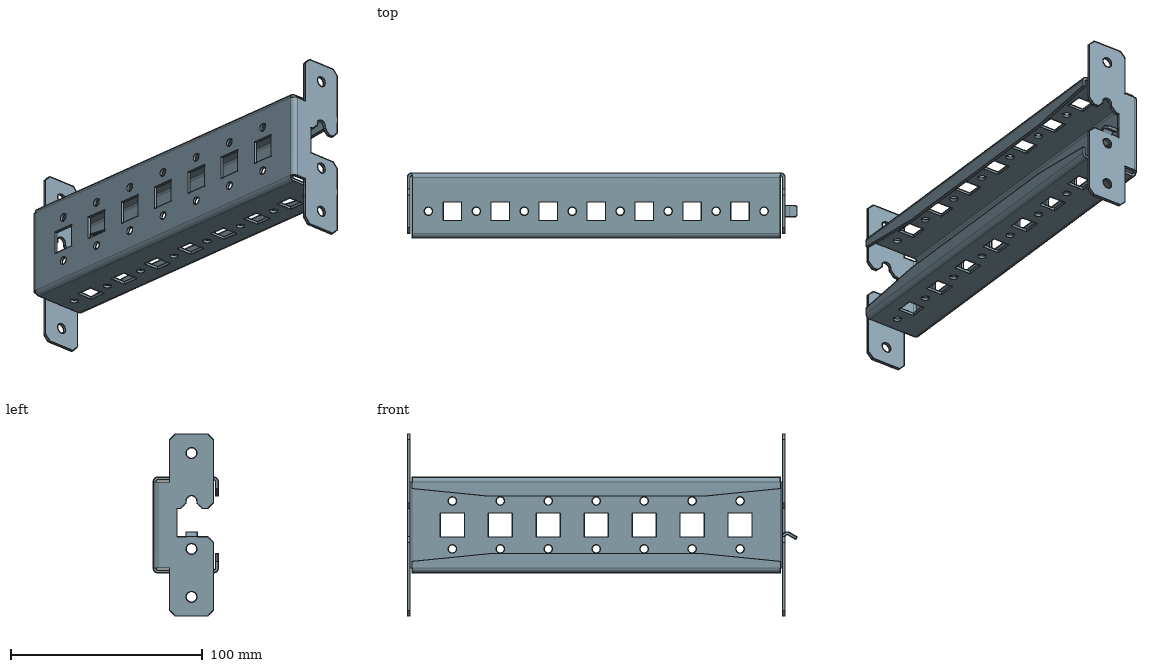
import cadquery as cq
import math

thickness = 1.5
inner_bend = 1.0
outer_bend = inner_bend + thickness

channel_length = 192.0
channel_height = 50.0
channel_depth = 34.0
back_y = 20.0
front_y = back_y - channel_depth
half_length = channel_length / 2
half_height = channel_height / 2
web_flat_half = half_height - outer_bend

lip_width = 10.0
lip_end_width = 6.0
lip_taper_length = 40.0

pitch = 25.0
web_square = 12.4
flange_square = 9.5
small_hole = 4.2
square_count = 7
flange_hole_count = square_count + 1
web_hole_z = pitch / 2

plate_outer_x = half_length + outer_bend
plate_width = 23.0
plate_height = 95.0
plate_front_y = -plate_width / 2
plate_chamfer = 3.0
plate_hole = 5.5
plate_hole_count = 4

notch_back_y = 7.5
notch_bottom_z = -6.1
notch_top_z = 8.5
lead_in = 3.0

tab_width = 6.0
overall_length = 203.29
tab_reach = overall_length - 2 * plate_outer_x
tab_slope = math.radians(30)
tab_corner = 1.5


def box(x_range, y_range, z_range):
    """Box between the given pairs of limits."""
    size = [high - low for low, high in (x_range, y_range, z_range)]
    corner = (x_range[0], y_range[0], z_range[0])
    return cq.Workplane("XY").box(*size, centered=False).translate(corner)


def row(count):
    """Positions along one axis of a centred row at the hole pitch."""
    return [(i - (count - 1) / 2) * pitch for i in range(count)]


def make_channel():
    """Web, two flanges and two lips, still without holes."""
    middle_y = (back_y + front_y) / 2
    outer = cq.Workplane("XY").box(channel_length, channel_depth, channel_height)
    outer = outer.edges("|X").fillet(outer_bend)
    inner = cq.Workplane("XY").box(
        channel_length, channel_depth - 2 * thickness, channel_height - 2 * thickness
    )
    inner = inner.edges("|X").fillet(inner_bend)
    channel = outer.cut(inner).translate((0, middle_y, 0))

    slot_half = half_height - lip_width
    slot_end_half = half_height - lip_end_width
    taper_x = half_length - lip_taper_length
    opening = (
        cq.Workplane("XZ", origin=(0, front_y, 0))
        .moveTo(-half_length, -slot_end_half)
        .lineTo(-taper_x, -slot_half)
        .lineTo(taper_x, -slot_half)
        .lineTo(half_length, -slot_end_half)
        .lineTo(half_length, slot_end_half)
        .lineTo(taper_x, slot_half)
        .lineTo(-taper_x, slot_half)
        .lineTo(-half_length, slot_end_half)
        .close()
        .extrude(-outer_bend)
    )
    return channel.cut(opening)


def web_cutouts():
    """Squares with a round hole above and below each, through the web."""
    web = cq.Workplane("XZ", origin=(0, back_y, 0))
    centres = row(square_count)
    squares = web.pushPoints([(x, 0) for x in centres]).rect(web_square, web_square).extrude(outer_bend)
    hole_points = [(x, z) for x in centres for z in (-web_hole_z, web_hole_z)]
    holes = web.pushPoints(hole_points).circle(small_hole / 2).extrude(outer_bend)
    return squares.union(holes)


def flange_cutouts():
    """Alternating round and square holes through both flanges."""
    base = cq.Workplane("XY", origin=(0, 0, -half_height))
    square_points = [(x, 0) for x in row(square_count)]
    squares = base.pushPoints(square_points).rect(flange_square, flange_square).extrude(channel_height)
    hole_points = [(x, 0) for x in row(flange_hole_count)]
    holes = base.pushPoints(hole_points).circle(small_hole / 2).extrude(channel_height)
    return squares.union(holes)


def notch():
    """Side-opening notch with a hole and 45 degree lead-in on its upper edge."""
    x_limits = (half_length, plate_outer_x)
    slot = box(x_limits, (plate_front_y, notch_back_y), (notch_bottom_z, notch_top_z))
    throat = plate_hole / 2
    mouth = throat + lead_in
    lead_in_cut = (
        cq.Workplane("YZ", origin=(half_length, 0, 0))
        .moveTo(-mouth, notch_top_z)
        .lineTo(-throat, notch_top_z + lead_in)
        .lineTo(-throat, pitch / 2)
        .lineTo(throat, pitch / 2)
        .lineTo(throat, notch_top_z + lead_in)
        .lineTo(mouth, notch_top_z)
        .close()
        .extrude(outer_bend)
    )
    return slot.union(lead_in_cut)


def make_end_plate():
    """End plate at +X with the bend that joins it to the web."""
    x_limits = (plate_outer_x - thickness, plate_outer_x)
    bend_y = back_y - outer_bend
    z_limits = (-plate_height / 2, plate_height / 2)
    plate = box(x_limits, (plate_front_y, -plate_front_y), z_limits)
    plate = plate.edges("|X").chamfer(plate_chamfer)
    plate = plate.union(box(x_limits, (0, bend_y), (-web_flat_half, web_flat_half)))

    plate = plate.cut(notch())
    mouth_corners = cq.selectors.BoxSelector(
        (half_length, plate_front_y - thickness, notch_bottom_z - thickness),
        (plate_outer_x + thickness, plate_front_y + thickness, notch_top_z + thickness),
    )
    plate = plate.edges("|X").edges(mouth_corners).chamfer(plate_chamfer)
    holes = (
        cq.Workplane("YZ", origin=(half_length, 0, 0))
        .pushPoints([(0, z) for z in row(plate_hole_count)])
        .circle(plate_hole / 2)
        .extrude(outer_bend)
    )
    plate = plate.cut(holes)

    diagonal = math.sqrt(0.5)
    bend = (
        cq.Workplane("XY", origin=(0, 0, -web_flat_half))
        .moveTo(half_length, back_y)
        .threePointArc(
            (half_length + outer_bend * diagonal, bend_y + outer_bend * diagonal),
            (plate_outer_x, bend_y),
        )
        .lineTo(plate_outer_x - thickness, bend_y)
        .threePointArc(
            (half_length + inner_bend * diagonal, bend_y + inner_bend * diagonal),
            (half_length, back_y - thickness),
        )
        .close()
        .extrude(2 * web_flat_half)
    )
    return plate.union(bend)


def make_tab():
    """Tab that rises from the notch floor, bends outwards and slopes down."""
    bend_x = plate_outer_x + inner_bend

    def on_bend(radius, angle):
        return (bend_x + radius * math.cos(angle), notch_bottom_z + radius * math.sin(angle))

    bend_end = math.pi / 2 - tab_slope
    bend_middle = (math.pi + bend_end) / 2
    outer_end = on_bend(outer_bend, bend_end)
    inner_end = on_bend(inner_bend, bend_end)
    run = plate_outer_x + tab_reach - outer_end[0]
    drop = run * math.tan(tab_slope)
    tab = (
        cq.Workplane("XZ", origin=(0, tab_width / 2, 0))
        .moveTo(plate_outer_x - thickness, notch_bottom_z)
        .threePointArc(on_bend(outer_bend, bend_middle), outer_end)
        .lineTo(outer_end[0] + run, outer_end[1] - drop)
        .lineTo(inner_end[0] + run, inner_end[1] - drop)
        .lineTo(*inner_end)
        .threePointArc(on_bend(inner_bend, bend_middle), (plate_outer_x, notch_bottom_z))
        .close()
        .extrude(tab_width)
    )
    tip_x = (outer_end[0] + inner_end[0]) / 2 + run
    tip_z = (outer_end[1] + inner_end[1]) / 2 - drop
    tip = tab.faces(cq.selectors.NearestToPointSelector((tip_x, 0, tip_z)))
    across = cq.Vector(math.sin(tab_slope), 0, math.cos(tab_slope))
    return tip.edges(cq.selectors.ParallelDirSelector(across)).fillet(tab_corner)


channel = make_channel().cut(web_cutouts()).cut(flange_cutouts())
end_plate = make_end_plate()
result = channel.union(end_plate).union(end_plate.mirror("YZ")).union(make_tab())